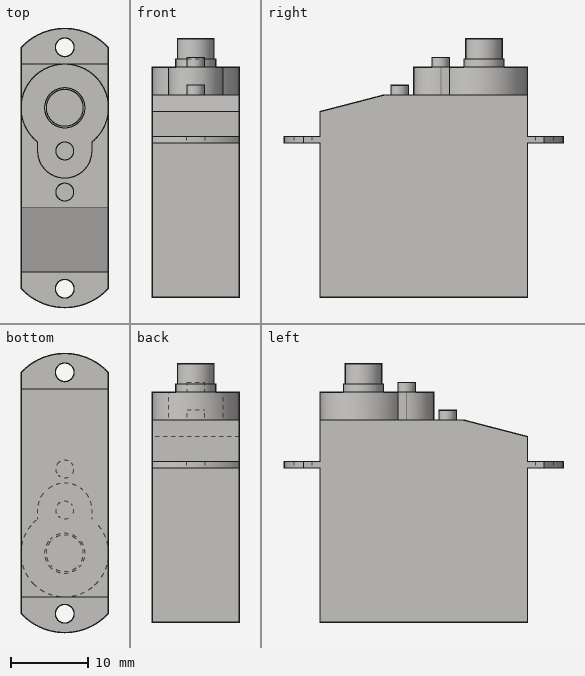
import cadquery as cq

width = 11.35
case_length = 26.95
case_height = 26.25
slope_start_y = -5.1
slope_end_z = 24.1

overall_length = 36.22
ear_shoulder_y = 15.6
ear_bottom_z = 20.0
ear_thickness = 0.87
ear_hole_y = 15.65
ear_hole_diameter = 2.4

housing_top_z = 29.85
housing_radius = width / 2
shaft_y = case_length / 2 - housing_radius
lobe_radius = 3.5
lobe_y = 2.2

collar_diameter = 5.2
collar_top_z = 30.93
shaft_diameter = 4.78
overall_height = 33.55

pin_diameter = 2.3
lobe_pin_top_z = 31.1
case_pin_y = -3.1
case_pin_top_z = 27.53


def cylinder(y, diameter, bottom_z, top_z):
    """Vertical cylinder on the part's centre plane."""
    return (
        cq.Workplane("XY", origin=(0, y, bottom_z))
        .circle(diameter / 2)
        .extrude(top_z - bottom_z)
    )


def make_case():
    """Block with a sloping top at its -Y end."""
    half_length = case_length / 2
    return (
        cq.Workplane("YZ")
        .moveTo(-half_length, 0)
        .lineTo(half_length, 0)
        .lineTo(half_length, case_height)
        .lineTo(slope_start_y, case_height)
        .lineTo(-half_length, slope_end_z)
        .close()
        .extrude(width / 2, both=True)
    )


def make_ears():
    """Plate through the case with arched ends and a screw hole at each end."""
    half_width = width / 2
    end_y = overall_length / 2
    plate = (
        cq.Workplane("XY", origin=(0, 0, ear_bottom_z))
        .moveTo(-half_width, -ear_shoulder_y)
        .threePointArc((0, -end_y), (half_width, -ear_shoulder_y))
        .lineTo(half_width, ear_shoulder_y)
        .threePointArc((0, end_y), (-half_width, ear_shoulder_y))
        .close()
        .extrude(ear_thickness)
    )
    for hole_y in (-ear_hole_y, ear_hole_y):
        hole = cylinder(hole_y, ear_hole_diameter, ear_bottom_z, ear_bottom_z + ear_thickness)
        plate = plate.cut(hole)
    return plate


def make_gear_housing():
    """Large round, small lobe and the straight-sided neck between their centres."""
    height = housing_top_z - case_height
    neck_length = shaft_y - lobe_y
    neck = (
        cq.Workplane("XY", origin=(0, lobe_y + neck_length / 2, case_height))
        .rect(2 * lobe_radius, neck_length)
        .extrude(height)
    )
    main_round = cylinder(shaft_y, 2 * housing_radius, case_height, housing_top_z)
    lobe = cylinder(lobe_y, 2 * lobe_radius, case_height, housing_top_z)
    return main_round.union(neck).union(lobe)


collar = cylinder(shaft_y, collar_diameter, housing_top_z, collar_top_z)
output_shaft = cylinder(shaft_y, shaft_diameter, collar_top_z, overall_height)
lobe_pin = cylinder(lobe_y, pin_diameter, housing_top_z, lobe_pin_top_z)
case_pin = cylinder(case_pin_y, pin_diameter, case_height, case_pin_top_z)

result = make_case()
for feature in (make_ears(), make_gear_housing(), collar, output_shaft, lobe_pin, case_pin):
    result = result.union(feature)